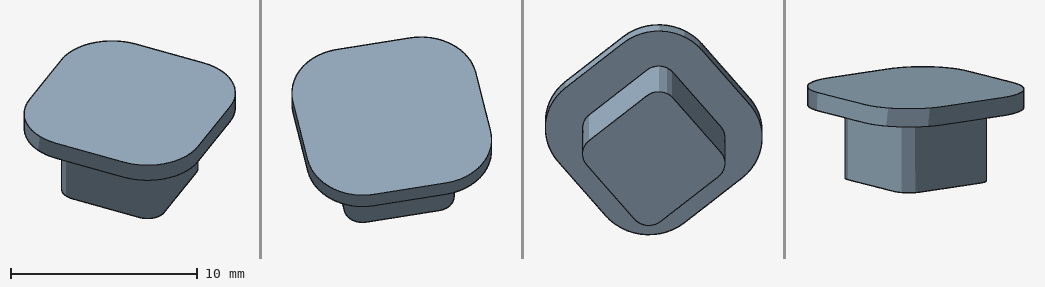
import cadquery as cq

cap_width = 10.0
cap_thickness = 1.0
stem_width = 6.0
stem_height = 4.0
stem_corner_radius = 1.0

overhang = (cap_width - stem_width) / 2
cap_corner_radius = stem_corner_radius + overhang


def rounded_square_block(width, height, corner_radius):
    """Square block standing on Z = 0 with rounded vertical edges."""
    block = cq.Workplane("XY").rect(width, width).extrude(height)
    return block.edges("|Z").fillet(corner_radius)


stem = rounded_square_block(stem_width, stem_height, stem_corner_radius)
cap = rounded_square_block(cap_width, cap_thickness, cap_corner_radius)

result = stem.union(cap.translate((0, 0, stem_height)))